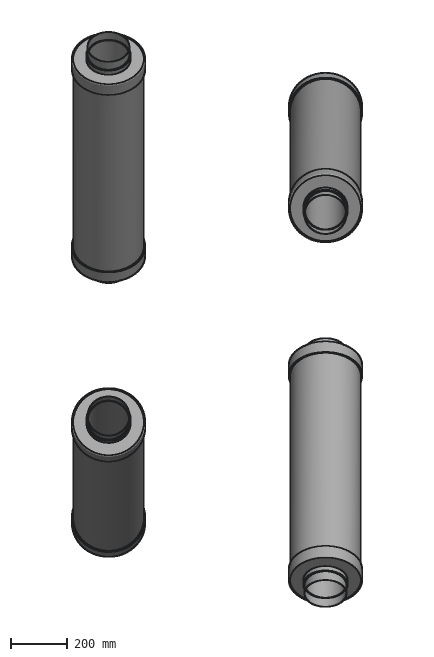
import cadquery as cq

LENGTH = 1120.0
CAP_DIAMETER = 262.0
SHEET = 1.0

cap_radius = CAP_DIAMETER / 2
CORE_RADIUS = 125.0
COLLAR_RADIUS = 80.0
SPIGOT_RADIUS = 75.0
BORE_RADIUS = 73.0
neck_radius = COLLAR_RADIUS - SHEET
spigot_bore_radius = SPIGOT_RADIUS - SHEET

SKIRT_HEIGHT = 50.0
SPIGOT_HEIGHT = 40.0
COLLAR_HEIGHT = 20.0
CAP_EDGE_FILLET = 3.0
COLLAR_EDGE_FILLET = 2.0

top_z = LENGTH / 2
collar_top_z = top_z - SPIGOT_HEIGHT
cap_face_z = collar_top_z - COLLAR_HEIGHT
skirt_bottom_z = cap_face_z - SKIRT_HEIGHT
neck_end_z = collar_top_z - SHEET
core_end_z = cap_face_z - SHEET


def cylinder(radius, bottom_z, end_z):
    """Solid cylinder on the Z axis between two heights."""
    return cq.Workplane("XY").workplane(offset=bottom_z).circle(radius).extrude(end_z - bottom_z)


def make_core():
    """Thick tube with a narrower neck at each end that plugs into the caps."""
    barrel = cylinder(CORE_RADIUS, -core_end_z, core_end_z)
    necks = cylinder(neck_radius, -neck_end_z, neck_end_z)
    bore = cylinder(BORE_RADIUS, -top_z, top_z)
    return barrel.union(necks).cut(bore)


def make_top_cap(core):
    """Stepped cap: rounded skirt around the core, collar around its neck, thin open spigot."""
    skirt = cylinder(cap_radius, skirt_bottom_z, cap_face_z).faces(">Z").edges().fillet(CAP_EDGE_FILLET)
    collar = cylinder(COLLAR_RADIUS, skirt_bottom_z, collar_top_z).faces(">Z").edges().fillet(COLLAR_EDGE_FILLET)
    spigot = cylinder(SPIGOT_RADIUS, skirt_bottom_z, top_z)
    spigot_bore = cylinder(spigot_bore_radius, skirt_bottom_z, top_z)
    return skirt.union(collar).union(spigot).cut(spigot_bore).cut(core)


core = make_core()
top_cap = make_top_cap(core)

caps = [top_cap, top_cap.mirror("XY")]

result = cq.Compound.makeCompound([core.val(), *[cap.val() for cap in caps]])